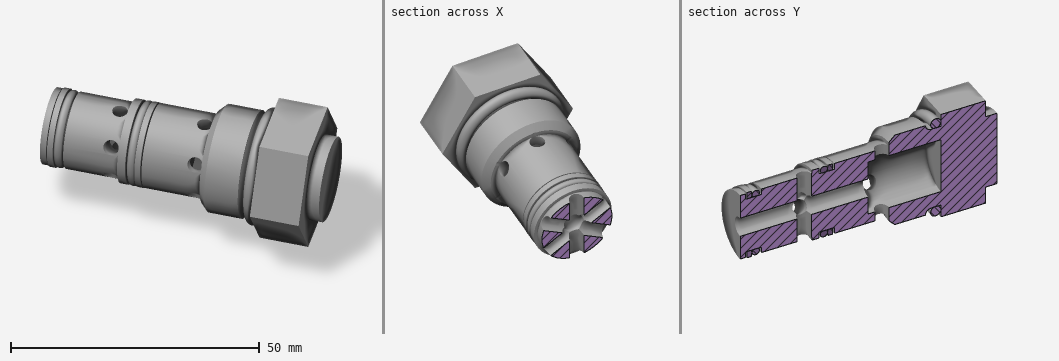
import cadquery as cq
import math


TOTAL_LENGTH = 58.4
NOSE_LAND_END = 1.3
NOSE_GROOVE_END = 4.85
SHOULDER_START = 16.3
SLEEVE_GROOVE_START = 17.95
SLEEVE_GROOVE_END = 21.4
FLANGE_START = 33.75
FLANGE_END = 42.1
HEX_START = 45.6
HEX_LENGTH = 10.15

NOSE_DIAMETER = 15.85
NOSE_GROOVE_DIAMETER = 13.2
SLEEVE_DIAMETER = 17.4
SLEEVE_GROOVE_DIAMETER = 14.6
FLANGE_DIAMETER = 22.25
NECK_DIAMETER = 19.6
STUB_DIAMETER = 17.5

FLANGE_FRONT_CHAMFER = 1.4
HEX_ACROSS_FLATS = 25.4

INLET_DIAMETER = 4.4
CHAMBER_DIAMETER = 12.75
PORT_DIAMETER = 3.15
PORTS_PER_ROW = 6
NOSE_PORTS_X = 14.55
SLEEVE_PORTS_X = 32.25
CHAMBER_START = SLEEVE_PORTS_X - PORT_DIAMETER
CHAMBER_END = HEX_START

SMALL_CORD = 1.75
LARGE_CORD = 2.4
NOSE_O_RING_DIAMETER = 16.0
SLEEVE_O_RING_DIAMETER = 17.5
NECK_O_RING_DIAMETER = 24.1
BACKUP_WIDTH = 1.15
NOSE_BACKUP_DIAMETER = 16.25
SLEEVE_BACKUP_DIAMETER = 17.5
NOSE_BACKUP_START = 1.5
SLEEVE_BACKUP_START = 19.9


def cylinder(start, end, diameter):
    """Cylinder on the X axis from one X position to another."""
    return cq.Workplane("YZ", origin=(start, 0, 0)).circle(diameter / 2).extrude(end - start)


def turned_blank():
    """Revolved nose, sleeve, flange and neck, with two ring grooves and a rounded step to the neck."""
    nose = NOSE_DIAMETER / 2
    nose_groove = NOSE_GROOVE_DIAMETER / 2
    sleeve = SLEEVE_DIAMETER / 2
    sleeve_groove = SLEEVE_GROOVE_DIAMETER / 2
    flange = FLANGE_DIAMETER / 2
    neck = NECK_DIAMETER / 2
    neck_blend = flange - neck
    front_outline = [
        (0, 0),
        (0, nose),
        (NOSE_LAND_END, nose),
        (NOSE_LAND_END, nose_groove),
        (NOSE_GROOVE_END, nose_groove),
        (NOSE_GROOVE_END, nose),
        (SHOULDER_START, nose),
        (SHOULDER_START, sleeve),
        (SLEEVE_GROOVE_START, sleeve),
        (SLEEVE_GROOVE_START, sleeve_groove),
        (SLEEVE_GROOVE_END, sleeve_groove),
        (SLEEVE_GROOVE_END, sleeve),
        (FLANGE_START, sleeve),
        (FLANGE_START, flange - FLANGE_FRONT_CHAMFER),
        (FLANGE_START + FLANGE_FRONT_CHAMFER, flange),
        (FLANGE_END, flange),
    ]
    blend_middle = (
        FLANGE_END + neck_blend * (1 - math.sqrt(0.5)),
        flange - neck_blend * math.sqrt(0.5),
    )
    return (
        cq.Workplane("XY")
        .polyline(front_outline)
        .threePointArc(blend_middle, (FLANGE_END + neck_blend, neck))
        .lineTo(HEX_START, neck)
        .lineTo(HEX_START, 0)
        .close()
        .revolve(360, (0, 0, 0), (1, 0, 0))
    )


def hex_head():
    """Hexagon with flats facing +Z and -Z and corners on the Y axis."""
    across_corners = HEX_ACROSS_FLATS / math.cos(math.pi / 6)
    return cq.Workplane("YZ", origin=(HEX_START, 0, 0)).polygon(6, across_corners).extrude(HEX_LENGTH)


def port_row(x):
    """Radial drillings from the axis outwards, the first one along +Z."""
    drill = cq.Workplane("XY", origin=(x, 0, 0)).circle(PORT_DIAMETER / 2).extrude(FLANGE_DIAMETER / 2)
    row = drill
    for index in range(1, PORTS_PER_ROW):
        row = row.union(drill.rotate((0, 0, 0), (1, 0, 0), index * 360 / PORTS_PER_ROW))
    return row


def make_body():
    """Housing with the hexagon, the rear stub, the stepped blind bore and both port rows."""
    body = turned_blank().union(hex_head())
    body = body.union(cylinder(HEX_START + HEX_LENGTH, TOTAL_LENGTH, STUB_DIAMETER))
    body = body.cut(cylinder(0, CHAMBER_START, INLET_DIAMETER))
    body = body.cut(cylinder(CHAMBER_START, CHAMBER_END, CHAMBER_DIAMETER))
    for row_x in (NOSE_PORTS_X, SLEEVE_PORTS_X):
        body = body.cut(port_row(row_x))
    return body


def make_o_ring(rear_x, outer_diameter, cord, seat_diameter):
    """Round-cord ring ending at rear_x, pressed flat where it sits on its seat."""
    center_x = rear_x - cord / 2
    cord_radius = cord / 2
    center_radius = outer_diameter / 2 - cord_radius
    ring = (
        cq.Workplane("XY")
        .center(center_x, center_radius)
        .circle(cord_radius)
        .revolve(360, (-center_x, -center_radius, 0), (0.6 - center_x, -center_radius, 0))
    )
    return ring.cut(cylinder(rear_x - cord, rear_x, seat_diameter))


def make_backup_ring(start, outer_diameter, seat_diameter):
    """Flat ring of rectangular section filling the space above its seat."""
    end = start + BACKUP_WIDTH
    return cylinder(start, end, outer_diameter).cut(cylinder(start, end, seat_diameter))


body = make_body()

O_RINGS = (
    (NOSE_BACKUP_START + BACKUP_WIDTH + SMALL_CORD, NOSE_O_RING_DIAMETER, SMALL_CORD, NOSE_GROOVE_DIAMETER),
    (SLEEVE_BACKUP_START, SLEEVE_O_RING_DIAMETER, SMALL_CORD, SLEEVE_GROOVE_DIAMETER),
    (HEX_START, NECK_O_RING_DIAMETER, LARGE_CORD, NECK_DIAMETER),
)
o_rings = [make_o_ring(*sizes) for sizes in O_RINGS]

BACKUP_RINGS = (
    (NOSE_BACKUP_START, NOSE_BACKUP_DIAMETER, NOSE_GROOVE_DIAMETER),
    (SLEEVE_BACKUP_START, SLEEVE_BACKUP_DIAMETER, SLEEVE_GROOVE_DIAMETER),
)
backup_rings = [make_backup_ring(*sizes) for sizes in BACKUP_RINGS]

result = cq.Compound.makeCompound(
    [body.val(), *[ring.val() for ring in o_rings], *[ring.val() for ring in backup_rings]]
)